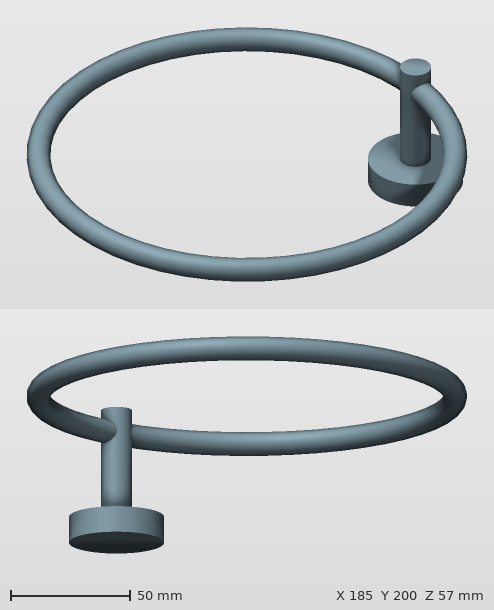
import cadquery as cq

ring_outer_diameter = 185.0
rod_diameter = 10.0
base_diameter = 40.0
base_thickness = 11.0
post_diameter = 13.0
total_height = 57.0
post_top_to_ring_center = 10.0

ring_radius = (ring_outer_diameter - rod_diameter) / 2
ring_height = total_height - post_top_to_ring_center
post_length = total_height - base_thickness
post_y = ring_radius


def make_base():
    """Round base disc, centred under the post."""
    return cq.Workplane("XY").center(0, post_y).circle(base_diameter / 2).extrude(base_thickness)


def make_ring():
    """Closed rod ring around the Z axis, passing through the post."""
    return (
        cq.Workplane("XZ", origin=(0, 0, ring_height))
        .center(-ring_radius, 0)
        .circle(rod_diameter / 2)
        .revolve(360, (ring_radius, 0), (ring_radius, 1))
    )


def make_post(ring):
    """Post standing on the base, with a cross hole matching the ring."""
    post = (
        cq.Workplane("XY", origin=(0, post_y, base_thickness))
        .circle(post_diameter / 2)
        .extrude(post_length)
    )
    return post.cut(ring)


base = make_base()
ring = make_ring()
post = make_post(ring)

result = cq.Compound.makeCompound([base.val(), *post.vals(), ring.val()])